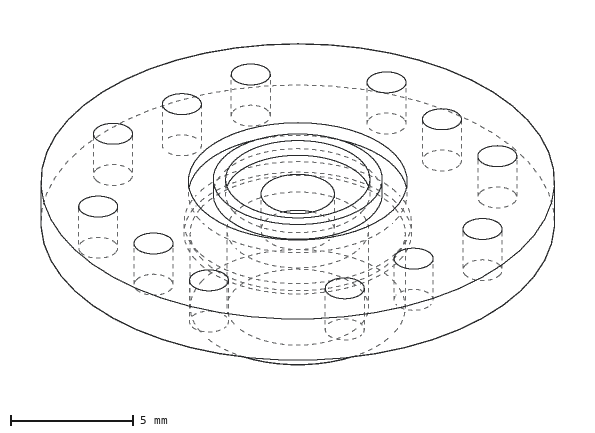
import cadquery as cq

flange_diameter = 21
flange_thickness = 2.0
collar_diameter = 9.3
collar_height = 0.5
hub_diameter = 8.8
hub_height = 3.6
bore_diameter = 3.0
bore_length = 1.75
hub_socket_diameter = 5.8

groove_diameter = 8.95
groove_depth = 0.6
ring_outer_diameter = 6.9
ring_inner_diameter = 5.9
ring_rise = 0.1
recess_depth = 0.71

mount_hole_diameter = 1.6
mount_row_offset = 7.55
mount_hole_pitch = 3.61

collar_bottom = hub_height
flange_bottom = collar_bottom + collar_height
flange_top = flange_bottom + flange_thickness
ring_top = flange_top + ring_rise


def cylinder(diameter, bottom, top):
    """Cylinder on the Z axis between two heights."""
    return cq.Workplane("XY").workplane(offset=bottom).circle(diameter / 2).extrude(top - bottom)


def mount_hole_points():
    """Centres of the three holes in each of the four rows."""
    points = []
    for side in (-mount_row_offset, mount_row_offset):
        for along in (-mount_hole_pitch, 0, mount_hole_pitch):
            points.append((side, along))
            points.append((along, side))
    return points


body = cylinder(hub_diameter, 0, collar_bottom)
body = body.union(cylinder(collar_diameter, collar_bottom, flange_bottom))
body = body.union(cylinder(flange_diameter, flange_bottom, flange_top))

groove_floor = flange_top - groove_depth
body = body.cut(cylinder(groove_diameter, groove_floor, flange_top))
body = body.union(cylinder(ring_outer_diameter, groove_floor, ring_top))

recess_floor = ring_top - recess_depth
socket_top = recess_floor - bore_length
body = body.cut(cylinder(ring_inner_diameter, recess_floor, ring_top))
body = body.cut(cylinder(bore_diameter, socket_top, recess_floor))
body = body.cut(cylinder(hub_socket_diameter, 0, socket_top))

mount_holes = (
    cq.Workplane("XY")
    .workplane(offset=flange_bottom)
    .pushPoints(mount_hole_points())
    .circle(mount_hole_diameter / 2)
    .extrude(flange_thickness)
)
result = body.cut(mount_holes)